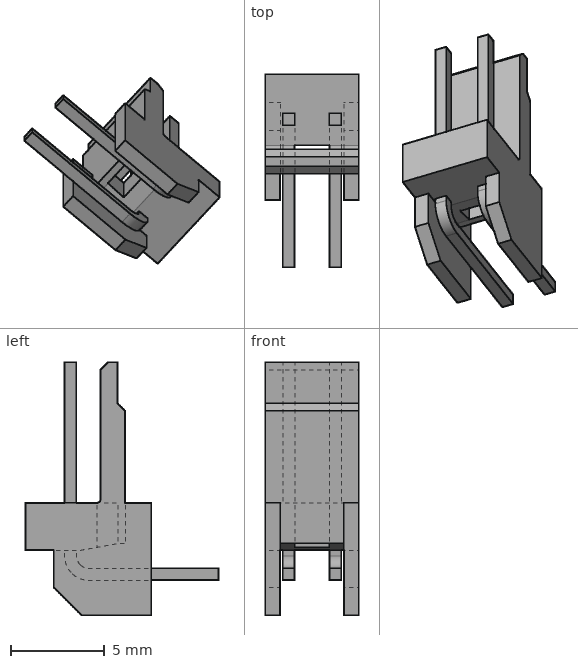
import cadquery as cq

body_width = 5.0
overall_height = 13.5
overall_depth = 10.3

shoulder_height = 6.0
block_underside = 3.48
wall_thickness = 0.8
wall_front = 6.72
rear_overhang = 1.5
foot_chamfer = 1.5

tang_rear = 4.0
tang_front = 5.32
tang_tip_front = 4.92
tang_tip_chamfer = 0.4
hook_top = 11.3
hook_height = hook_top - (tang_front - tang_tip_front)
root_fillet = 0.2

pin_pitch = 2.5
pin_count = 2
pin_size = 0.64
pin_rear = 2.08
pin_tail_top = 2.52
pin_inner_bend = 0.65

underside_rise = 0.36
underside_slope_front = tang_tip_front
underside_slope_length = 2.0
underside_slope_rear = underside_slope_front - underside_slope_length
tang_underside = block_underside + underside_rise

slot_width = pin_pitch - pin_size
slot_rear = tang_rear - root_fillet
slot_front = underside_slope_front


def extrude_across(outline, width, x_center=0.0):
    """Extrude a Y-Z outline along X, centred on x_center."""
    return outline.extrude(width / 2, both=True).translate((x_center, 0, 0))


def make_side_wall(x_center):
    """End wall with a chamfered foot, stepped in below the rear overhang."""
    outline = (
        cq.Workplane("YZ")
        .moveTo(0, shoulder_height)
        .lineTo(-wall_front, shoulder_height)
        .lineTo(-wall_front, 0)
        .lineTo(-rear_overhang - foot_chamfer, 0)
        .lineTo(-rear_overhang, foot_chamfer)
        .lineTo(-rear_overhang, block_underside)
        .lineTo(0, block_underside)
        .close()
    )
    return extrude_across(outline, wall_thickness, x_center)


def make_block_with_tang():
    """Pin block joined to the upright locking tang, with a filleted root behind the tang."""
    outline = (
        cq.Workplane("YZ")
        .moveTo(0, block_underside)
        .lineTo(0, shoulder_height)
        .lineTo(-tang_rear + root_fillet, shoulder_height)
        .radiusArc((-tang_rear, shoulder_height + root_fillet), root_fillet)
        .lineTo(-tang_rear, overall_height - tang_tip_chamfer)
        .lineTo(-tang_rear - tang_tip_chamfer, overall_height)
        .lineTo(-tang_tip_front, overall_height)
        .lineTo(-tang_tip_front, hook_top)
        .lineTo(-tang_front, hook_height)
        .lineTo(-tang_front, tang_underside)
        .lineTo(-underside_slope_front, tang_underside)
        .lineTo(-underside_slope_rear, block_underside)
        .close()
    )
    return extrude_across(outline, body_width)


def make_relief_slot():
    """Vertical opening between the pins, breaking out through the root fillet behind the tang."""
    outline = (
        cq.Workplane("YZ")
        .moveTo(-slot_rear, 0)
        .lineTo(-slot_rear, shoulder_height + root_fillet)
        .lineTo(-tang_rear, shoulder_height + root_fillet)
        .lineTo(-tang_rear, shoulder_height)
        .lineTo(-slot_front, shoulder_height)
        .lineTo(-slot_front, 0)
        .close()
    )
    return extrude_across(outline, slot_width)


def make_pin(x_center):
    """Square right-angle pin: upright contact, concentric bend, horizontal tail toward -Y."""
    pin_front = pin_rear + pin_size
    tail_bottom = pin_tail_top - pin_size
    outer_bend = pin_inner_bend + pin_size
    outline = (
        cq.Workplane("YZ")
        .moveTo(-pin_rear, overall_height)
        .lineTo(-pin_rear, tail_bottom + outer_bend)
        .radiusArc((-pin_rear - outer_bend, tail_bottom), outer_bend)
        .lineTo(-overall_depth, tail_bottom)
        .lineTo(-overall_depth, pin_tail_top)
        .lineTo(-pin_front - pin_inner_bend, pin_tail_top)
        .radiusArc((-pin_front, pin_tail_top + pin_inner_bend), -pin_inner_bend)
        .lineTo(-pin_front, overall_height)
        .close()
    )
    return extrude_across(outline, pin_size, x_center)


result = make_block_with_tang().cut(make_relief_slot())

wall_offset = (body_width - wall_thickness) / 2
for side in (-1, 1):
    result = result.union(make_side_wall(side * wall_offset))

for index in range(pin_count):
    pin_x = (index - (pin_count - 1) / 2) * pin_pitch
    result = result.union(make_pin(pin_x))